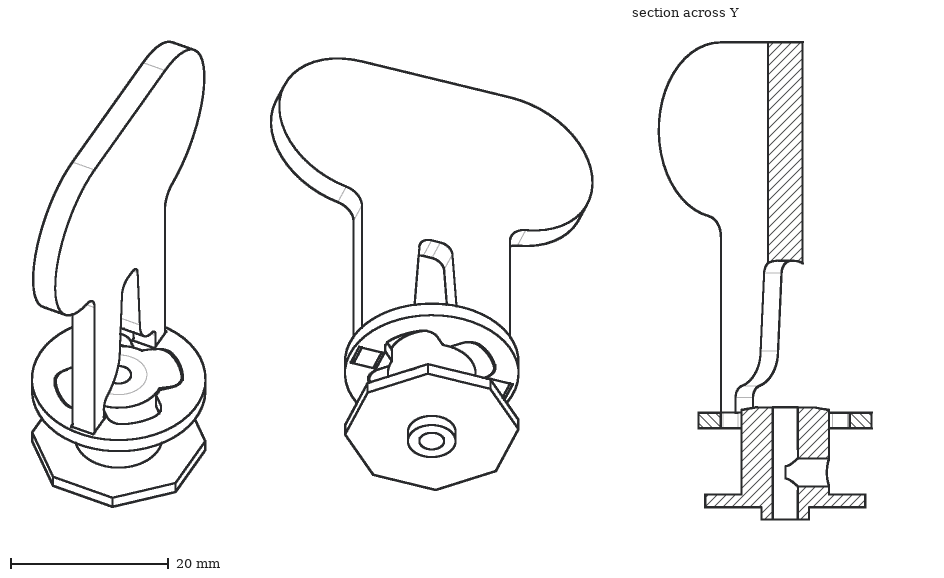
import cadquery as cq
import math

TOTAL_HEIGHT = 60.6
STUD_HEIGHT = 1.6
FLANGE_THICKNESS = 1.65
DISC_BOTTOM = 11.6
DISC_THICKNESS = 2.0
CAP_RISE = 0.7
RIM_RISE = 0.35
FLANGE_TOP = STUD_HEIGHT + FLANGE_THICKNESS
DISC_TOP = DISC_BOTTOM + DISC_THICKNESS
SPINDLE_TOP = DISC_TOP + CAP_RISE

BARREL_RADIUS = 5.6
CAP_RADIUS = 3.6
BORE_RADIUS = 1.6
STUD_RADIUS = 3.0
FLANGE_SIDES = 8
FLANGE_WIDTH = 20.35
SIDE_HOLE_RADIUS = 1.75
SIDE_HOLE_HEIGHT = 6.0

LOBE_HALF_WIDTH = 3.6
LOBE_CORNER_RADIUS = 2.0
HOLE_LOBE_REACH = 8.2
LOBE_TIP_GAP = 0.2
SPINDLE_LOBE_REACH = HOLE_LOBE_REACH - LOBE_TIP_GAP

DISC_RADIUS = 11.0
SLOT_END_GAP = 0.35

PLATE_ANGLE = -45.0
PLATE_THICKNESS = 3.15
HEAD_RADIUS = 11.15
LEG_OUTER = 10.0
LEG_INNER = 7.3
NECK_FILLET = 2.6
WINDOW_TOP = 32.85
WINDOW_TOP_HALF = 2.1
WINDOW_TOP_FILLET = 1.65
WINDOW_WAIST_HALF = 2.85
WINDOW_WAIST_HEIGHT = 21.4
FOOT_ARC_HEIGHT = 15.5
FOOT_ARC_RADIUS = 1.5


def cylinder(radius, bottom, top):
    return cq.Workplane("XY").workplane(offset=bottom).circle(radius).extrude(top - bottom)


def lobe_pair(reach, bottom, top):
    """Two opposite lobes along X with arc tips centred on the axis and rounded corners."""
    height = top - bottom
    bar = cq.Workplane("XY").box(4 * reach, 2 * LOBE_HALF_WIDTH, height, centered=(True, True, False))
    bar = bar.translate((0, 0, bottom)).intersect(cylinder(reach, bottom, top))
    return bar.edges("|Z").fillet(LOBE_CORNER_RADIUS)


def point_between(start, end, distance):
    """Point at a distance from start on the line towards end."""
    ratio = distance / math.dist(start, end)
    return (start[0] + ratio * (end[0] - start[0]), start[1] + ratio * (end[1] - start[1]))


def mirrored(point):
    return (-point[0], point[1])


def turn_to_plate(body):
    return body.rotate((0, 0, 0), (0, 0, 1), PLATE_ANGLE)


def extrude_plate(outline):
    return outline.close().extrude(PLATE_THICKNESS / 2, both=True)


def make_plate_blank():
    head_height = TOTAL_HEIGHT - HEAD_RADIUS
    head_centre = (LEG_OUTER, head_height)
    neck_drop = math.sqrt((HEAD_RADIUS + NECK_FILLET) ** 2 - NECK_FILLET ** 2)
    neck_centre = (LEG_OUTER + NECK_FILLET, head_height - neck_drop)
    neck_bottom = (LEG_OUTER, neck_centre[1])
    neck_top = point_between(head_centre, neck_centre, HEAD_RADIUS)
    neck_bisector = ((neck_bottom[0] + neck_top[0]) / 2, (neck_bottom[1] + neck_top[1]) / 2)
    neck_middle = point_between(neck_centre, neck_bisector, NECK_FILLET)
    head_side = (LEG_OUTER + HEAD_RADIUS, head_height)
    head_top = (LEG_OUTER, TOTAL_HEIGHT)
    foot = (LEG_OUTER, DISC_BOTTOM)
    outline = (
        cq.Workplane("XZ")
        .moveTo(*foot)
        .lineTo(*neck_bottom)
        .threePointArc(neck_middle, neck_top)
        .threePointArc(head_side, head_top)
        .lineTo(*mirrored(head_top))
        .threePointArc(mirrored(head_side), mirrored(neck_top))
        .threePointArc(mirrored(neck_middle), mirrored(neck_bottom))
        .lineTo(*mirrored(foot))
    )
    return extrude_plate(outline)


def make_window():
    """Opening between the legs: a tapered slit that flares out to the feet in an S of two arcs."""
    flare_width = LEG_INNER - WINDOW_WAIST_HALF
    flare_height = WINDOW_WAIST_HEIGHT - FOOT_ARC_HEIGHT
    radius_sum = (flare_width ** 2 + flare_height ** 2) / (2 * flare_width)
    flare_radius = radius_sum - FOOT_ARC_RADIUS
    flare_centre = (WINDOW_WAIST_HALF + flare_radius, WINDOW_WAIST_HEIGHT)
    foot_centre = (LEG_INNER - FOOT_ARC_RADIUS, FOOT_ARC_HEIGHT)
    meeting = point_between(foot_centre, flare_centre, FOOT_ARC_RADIUS)
    half_turn = math.atan2(flare_height, flare_centre[0] - foot_centre[0]) / 2
    foot_middle = (
        foot_centre[0] + FOOT_ARC_RADIUS * math.cos(half_turn),
        foot_centre[1] + FOOT_ARC_RADIUS * math.sin(half_turn),
    )
    flare_middle = (
        flare_centre[0] - flare_radius * math.cos(half_turn),
        flare_centre[1] - flare_radius * math.sin(half_turn),
    )
    foot = (LEG_INNER, DISC_BOTTOM)
    foot_arc_start = (LEG_INNER, FOOT_ARC_HEIGHT)
    waist = (WINDOW_WAIST_HALF, WINDOW_WAIST_HEIGHT)
    top = (WINDOW_TOP_HALF, WINDOW_TOP)
    outline = (
        cq.Workplane("XZ")
        .moveTo(*foot)
        .lineTo(*foot_arc_start)
        .threePointArc(foot_middle, meeting)
        .threePointArc(flare_middle, waist)
        .lineTo(*top)
        .lineTo(*mirrored(top))
        .lineTo(*mirrored(waist))
        .threePointArc(mirrored(flare_middle), mirrored(meeting))
        .threePointArc(mirrored(foot_middle), mirrored(foot_arc_start))
        .lineTo(*mirrored(foot))
    )
    return extrude_plate(outline).faces(">Z").edges("|Y").fillet(WINDOW_TOP_FILLET)


def make_handle():
    return turn_to_plate(make_plate_blank().cut(make_window()))


def make_leg_slots():
    slot_length = LEG_OUTER - LEG_INNER + 2 * SLOT_END_GAP
    slot_centre = (LEG_OUTER + LEG_INNER) / 2
    slots = (
        cq.Workplane("XY")
        .workplane(offset=DISC_BOTTOM)
        .pushPoints([(-slot_centre, 0), (slot_centre, 0)])
        .rect(slot_length, PLATE_THICKNESS)
        .extrude(DISC_THICKNESS)
    )
    return turn_to_plate(slots)


def make_disc():
    lobes_x = lobe_pair(HOLE_LOBE_REACH, DISC_BOTTOM, DISC_TOP)
    lobes_y = lobes_x.rotate((0, 0, 0), (0, 0, 1), 90)
    disc = cylinder(DISC_RADIUS, DISC_BOTTOM, DISC_TOP)
    disc = disc.cut(cylinder(BARREL_RADIUS, DISC_BOTTOM, DISC_TOP))
    return disc.cut(lobes_x).cut(lobes_y).cut(make_leg_slots())


def make_cone_envelope():
    """Solid of revolution bounded above by a flat cap and the cone that falls away from it."""
    cone_slope = (CAP_RISE - RIM_RISE) / (BARREL_RADIUS - CAP_RADIUS)
    edge_height = SPINDLE_TOP - cone_slope * (HOLE_LOBE_REACH - CAP_RADIUS)
    return (
        cq.Workplane("XZ")
        .polyline([
            (0, FLANGE_TOP),
            (HOLE_LOBE_REACH, FLANGE_TOP),
            (HOLE_LOBE_REACH, edge_height),
            (CAP_RADIUS, SPINDLE_TOP),
            (0, SPINDLE_TOP),
        ])
        .close()
        .revolve(360, (0, 0, 0), (0, 1, 0))
    )


def make_spindle():
    lobes = lobe_pair(SPINDLE_LOBE_REACH, DISC_BOTTOM, SPINDLE_TOP).rotate((0, 0, 0), (0, 0, 1), 90)
    head = cylinder(BARREL_RADIUS, FLANGE_TOP, SPINDLE_TOP).union(lobes).intersect(make_cone_envelope())
    flange = (
        cq.Workplane("XY")
        .workplane(offset=STUD_HEIGHT)
        .polygon(FLANGE_SIDES, FLANGE_WIDTH, circumscribed=True)
        .extrude(FLANGE_THICKNESS)
    )
    stud = cylinder(STUD_RADIUS, 0, STUD_HEIGHT)
    bore = cylinder(BORE_RADIUS, 0, SPINDLE_TOP)
    side_hole = (
        cq.Workplane("YZ")
        .center(0, SIDE_HOLE_HEIGHT)
        .circle(SIDE_HOLE_RADIUS)
        .extrude(-BARREL_RADIUS)
    )
    return head.union(flange).union(stud).cut(bore).cut(side_hole)


handle = make_handle()
disc = make_disc()
spindle = make_spindle()

result = cq.Compound.makeCompound([body.solids().val() for body in (handle, disc, spindle)])